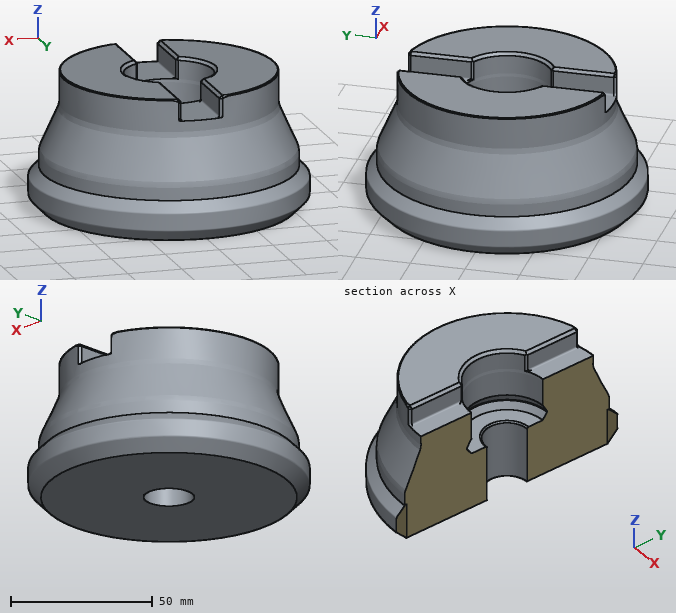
import cadquery as cq
import math

outer_radius = 50.0
height = 50.0

flank_length = 6.5
flank_rise = flank_length / math.sqrt(2)
corner_radius = 0.8
low_corner_z = flank_rise
high_corner_z = low_corner_z + flank_length
foot_radius = outer_radius - flank_rise

collar_radius = 92.6 / 2
hub_radius = 78.0 / 2
ring_top_z = high_corner_z + outer_radius - collar_radius
taper_bottom_z = 20.6
taper_top_z = 37.0
taper_blend = 5.0
rim_chamfer = 0.4

pilot_radius = 32.0 / 2
relief_radius = 32.2 / 2
screw_hole_radius = 18.0 / 2
lead_in_height = 1.2
screw_hole_chamfer = 0.6

bore_depth = 26.0
seat_z = height - bore_depth
groove_depth = 2.0
groove_radius = pilot_radius + groove_depth
groove_top_z = 30.5
groove_flank_angle = 30.0
groove_bottom_width = 0.4
upper_flank_end_z = groove_top_z - groove_depth / math.tan(math.radians(groove_flank_angle))

slot_half_width = 14.4 / 2
slot_depth = 8.0
slot_floor_z = height - slot_depth
slot_chamfer = 1.1
bore_corner_chamfer = 0.6
slot_floor_fillet = 0.7
mouth_y = math.sqrt(hub_radius**2 - slot_half_width**2)

match_tolerance = 0.0001
selection_margin = 0.1


def revolve_profile(points):
    """Turn (radius, z) points about the Z axis."""
    return cq.Workplane("XZ").polyline(points).close().revolve(360, (0, 0, 0), (0, 1, 0))


def circles_at(solid, radius, z):
    """Circular edges of a turned solid with this radius and height."""
    def matches(edge):
        return (
            edge.geomType() == "CIRCLE"
            and abs(edge.radius() - radius) < match_tolerance
            and abs(edge.Center().z - z) < match_tolerance
        )

    return solid.newObject([edge for edge in solid.edges().vals() if matches(edge)])


def make_cutting_ring():
    """Ring round the foot of the holder, ending in a sharp edge at the bottom."""
    ring = revolve_profile([
        (foot_radius, 0),
        (outer_radius, low_corner_z),
        (outer_radius, high_corner_z),
        (collar_radius, ring_top_z),
        (foot_radius, ring_top_z),
    ])
    for corner_z in (low_corner_z, high_corner_z):
        ring = circles_at(ring, outer_radius, corner_z).fillet(corner_radius)
    return ring


def make_blank():
    """Turned outside of the holder, with a seat for the ring at its foot."""
    blank = revolve_profile([
        (0, 0),
        (foot_radius, 0),
        (foot_radius, ring_top_z),
        (collar_radius, ring_top_z),
        (collar_radius, taper_bottom_z),
        (hub_radius, taper_top_z),
        (hub_radius, height),
        (0, height),
    ])
    blank = circles_at(blank, collar_radius, taper_bottom_z).fillet(taper_blend)
    blank = circles_at(blank, hub_radius, taper_top_z).fillet(taper_blend)
    return circles_at(blank, hub_radius, height).chamfer(rim_chamfer)


def make_bore():
    """Space of the pilot bore, its groove and the screw hole below it."""
    return revolve_profile([
        (0, 0),
        (screw_hole_radius, 0),
        (screw_hole_radius, seat_z - screw_hole_chamfer),
        (screw_hole_radius + screw_hole_chamfer, seat_z),
        (pilot_radius, seat_z),
        (groove_radius, upper_flank_end_z - groove_bottom_width),
        (groove_radius, upper_flank_end_z),
        (pilot_radius, groove_top_z),
        (pilot_radius, slot_floor_z - lead_in_height),
        (relief_radius, slot_floor_z),
        (relief_radius, height),
        (0, height),
    ])


def make_lobe():
    """Block that bounds the raised half on the +X side of the slot, with its edges broken."""
    base = cq.Workplane("XY", origin=(0, 0, slot_floor_z))
    lobe = (
        base.center(slot_half_width + outer_radius / 2, 0)
        .rect(outer_radius, 2 * mouth_y)
        .extrude(slot_depth)
        .cut(base.circle(relief_radius).extrude(slot_depth))
    )
    top_edges = lobe.faces(">Z").edges("not >X")
    mouth_edges = lobe.edges("|Z and <X").edges("<Y or >Y")
    lobe = top_edges.add(mouth_edges).chamfer(slot_chamfer)
    bore_corners = cq.selectors.BoxSelector(
        (0, -relief_radius, slot_floor_z), (slot_half_width + selection_margin, relief_radius, height)
    )
    return lobe.edges("|Z").edges(bore_corners).chamfer(bore_corner_chamfer)


def make_holder():
    """Turned holder with its bore and drive slot."""
    lobe = make_lobe()
    slot = (
        cq.Workplane("XY", origin=(0, 0, slot_floor_z))
        .circle(outer_radius)
        .extrude(slot_depth)
        .cut(lobe)
        .cut(lobe.mirror("YZ"))
    )
    holder = make_blank().cut(slot).cut(make_bore())
    for near_y, far_y in ((-hub_radius, -relief_radius), (relief_radius, hub_radius)):
        wall_feet = cq.selectors.BoxSelector(
            (-hub_radius, near_y, slot_floor_z - selection_margin),
            (hub_radius, far_y, slot_floor_z + selection_margin),
        )
        holder = holder.edges(wall_feet).edges("%LINE").fillet(slot_floor_fillet)
    return holder


holder = make_holder()
cutting_ring = make_cutting_ring()

result = cq.Compound.makeCompound([holder.val(), cutting_ring.val()])